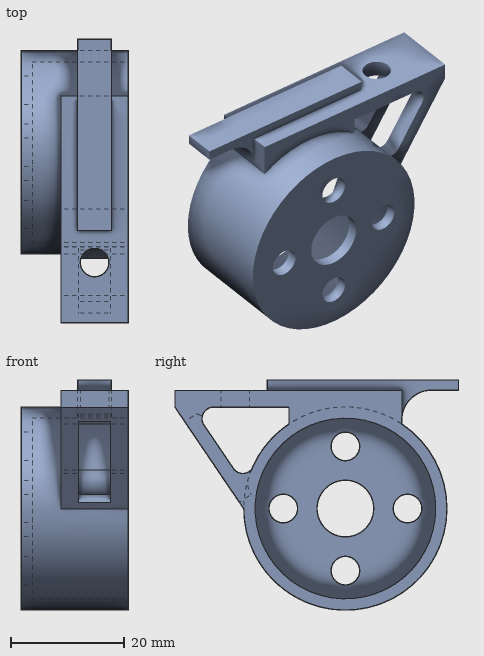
import cadquery as cq
import math

outer_radius = 36.0 / 2
inner_radius = 32.0 / 2
housing_length = 19.0
end_wall = 2.0
center_hole_diameter = 10.0
small_hole_diameter = 5.0
bolt_circle_radius = 11.0
bolt_count = 4

bracket_width = 11.95
bracket_start = housing_length - bracket_width
bracket_middle = housing_length - bracket_width / 2
block_half_length = 10.0
plate_front = -30.15
plate_top = 20.95
plate_thickness = 3.0
plate_bottom = plate_top - plate_thickness
front_edge_height = 3.0
front_edge_bottom = plate_top - front_edge_height

strut_foot_y = -outer_radius
strut_foot_z = -0.05
strut_thickness = 2.5
strut_angle = math.atan2(front_edge_bottom - strut_foot_z, strut_foot_y - plate_front)
window_corner_radius = 2.0
window_lowest_z = 6.2

slot_width = 5.6
slot_top_z = 15.35
slot_lip_radius = 3.5
slot_lip_angle = math.radians(18)

overall_height = 40.75
rail_width = 5.95
rail_height = overall_height - outer_radius - plate_top
rail_back = 20.05
rail_length = 33.9
gusset_radius = 5.25

plate_hole_y = -19.5


def prism(outline, start, width):
    """Extrude a closed YZ outline along +X."""
    return outline.close().extrude(width).translate((start, 0, 0))


def cylinder(radius, start, length):
    """Cylinder along X on the housing axis."""
    return cq.Workplane("YZ").circle(radius).extrude(length).translate((start, 0, 0))


def strut_y(z, depth=0.0):
    """Y on the strut's sloped face at height z, or on a face parallel to it, depth inside."""
    return plate_front + (front_edge_bottom - z) / math.tan(strut_angle) + depth / math.sin(strut_angle)


def make_frame():
    outline = cq.Workplane("YZ").polyline([
        (block_half_length, 0),
        (block_half_length, plate_top),
        (plate_front, plate_top),
        (plate_front, front_edge_bottom),
        (strut_foot_y, strut_foot_z),
    ])
    return prism(outline, bracket_start, bracket_width)


def make_window():
    """Window between plate, block and strut; its inner corner lies within the housing."""
    r = window_corner_radius
    out_y = -math.sin(strut_angle)
    out_z = -math.cos(strut_angle)
    upper_z = plate_bottom - r
    lower_z = window_lowest_z + r
    upper_y = strut_y(upper_z, strut_thickness + r)
    lower_y = strut_y(lower_z, strut_thickness + r)
    diagonal = r * math.sqrt(0.5)
    half_turn = (math.pi - strut_angle) / 2
    outline = (
        cq.Workplane("YZ")
        .moveTo(-block_half_length, plate_bottom)
        .lineTo(upper_y, plate_bottom)
        .threePointArc(
            (upper_y - r * math.sin(half_turn), upper_z + r * math.cos(half_turn)),
            (upper_y + r * out_y, upper_z + r * out_z),
        )
        .lineTo(lower_y + r * out_y, lower_z + r * out_z)
        .threePointArc((lower_y, window_lowest_z), (lower_y + diagonal, lower_z - diagonal))
        .lineTo(-block_half_length, lower_z - diagonal)
    )
    return prism(outline, bracket_start, bracket_width)


def make_slot():
    """Strut slot whose floor ends in a rounded lip blending into the housing."""
    r = slot_lip_radius
    in_y = math.sin(strut_angle)
    in_z = math.cos(strut_angle)
    center_y = -(outer_radius - r) * math.cos(slot_lip_angle)
    center_z = (outer_radius - r) * math.sin(slot_lip_angle)
    floor_end = (center_y - r * in_y, center_z - r * in_z)
    lip_end = (-outer_radius * math.cos(slot_lip_angle), outer_radius * math.sin(slot_lip_angle))
    tangent_length = 2 * r
    tangent_end = (
        lip_end[0] + tangent_length * math.sin(slot_lip_angle),
        lip_end[1] + tangent_length * math.cos(slot_lip_angle),
    )
    reach = 2 * strut_thickness
    floor_start = (floor_end[0] - reach * in_y, floor_end[1] - reach * in_z)
    top_y = strut_y(slot_top_z)
    top_inner = (top_y + strut_thickness * in_y, slot_top_z + strut_thickness * in_z)
    top_outer = (top_y - strut_thickness * in_y, slot_top_z - strut_thickness * in_z)
    outline = (
        cq.Workplane("YZ")
        .moveTo(*floor_start)
        .lineTo(*floor_end)
        .threePointArc((center_y - r, center_z), lip_end)
        .lineTo(*tangent_end)
        .lineTo(*top_inner)
        .lineTo(*top_outer)
    )
    return prism(outline, bracket_middle - slot_width / 2, slot_width)


def make_rail():
    start = bracket_middle - rail_width / 2
    rail_front = rail_back - rail_length
    bar = cq.Workplane("XY").box(rail_width, rail_length, rail_height, centered=False)
    bar = bar.translate((start, rail_front, plate_top))
    r = gusset_radius
    gusset = (
        cq.Workplane("YZ")
        .moveTo(block_half_length, plate_top)
        .lineTo(block_half_length + r, plate_top)
        .threePointArc(
            (block_half_length + r - r * math.sqrt(0.5), plate_top - r + r * math.sqrt(0.5)),
            (block_half_length, plate_top - r),
        )
    )
    return bar.union(prism(gusset, start, rail_width))


housing = cylinder(outer_radius, 0, housing_length)
cavity = cylinder(inner_radius, end_wall, housing_length)
center_hole = cylinder(center_hole_diameter / 2, 0, housing_length)
bolt_holes = (
    cq.Workplane("YZ")
    .polarArray(bolt_circle_radius, 0, 360, bolt_count)
    .circle(small_hole_diameter / 2)
    .extrude(housing_length)
)
plate_hole = (
    cq.Workplane("XY")
    .center(bracket_middle, plate_hole_y)
    .circle(small_hole_diameter / 2)
    .extrude(plate_thickness)
    .translate((0, 0, plate_bottom))
)

result = make_frame().cut(make_window()).union(housing).union(make_rail())
result = result.cut(make_slot()).cut(plate_hole)
result = result.cut(cavity).cut(center_hole).cut(bolt_holes)